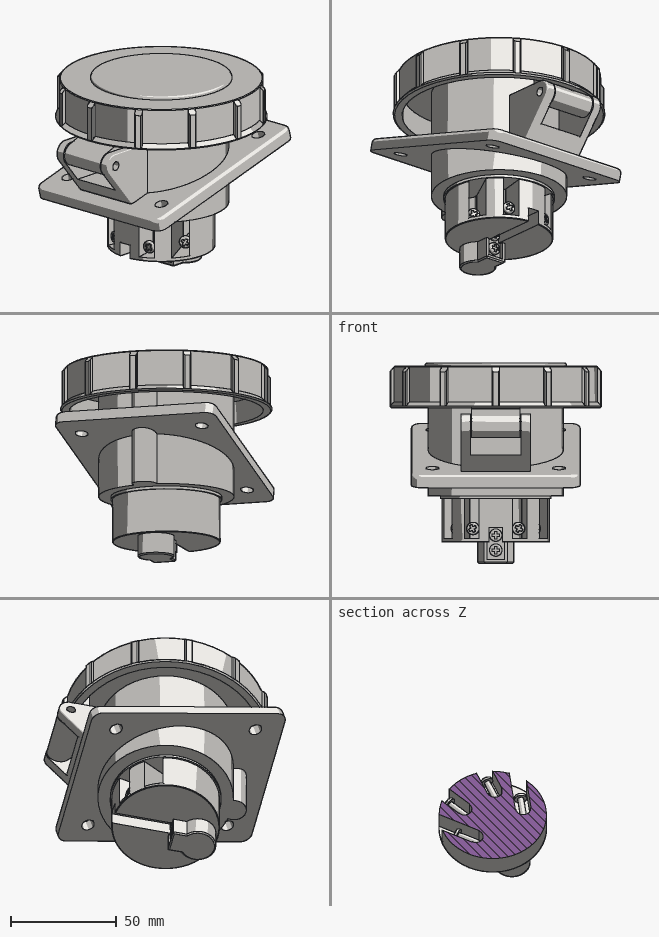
import cadquery as cq
import math


block_height = 10.1
collar_bottom = 30.6
housing_bottom = 32.0
ring_bottom = 73.5
housing_top = 84.1
ring_top = 93.2
lid_top = 94.7

ring_diameter = 100.0
rib_tip_radius = ring_diameter / 2
ring_wall_radius = 48.1
ring_inner_radius = 45.8
ring_roof_thickness = 3.2
ring_edge_chamfer = 0.4
flange_height = 2.7
flange_lip = 0.7
rib_count = 12
rib_width = 3.6
rib_edge_chamfer = 0.5
rib_top_slope = 2.3
rib_root_depth = 1.0

lid_boss_radius = 33.4
lid_boss_fillet = 1.2
lid_plate_radius = 45.2
leaf_inner_y = -39.3
leaf_outer_y = -43.4
leaf_bend_z = 73.0
leaf_inner_end_z = 68.4

overall_length = 105.2
hinge_radius = 5.7
hinge_y = rib_tip_radius - overall_length + hinge_radius
hinge_z = 65.0
knuckle_radius = 5.5
hinge_hole_radius = 2.1
bracket_width = 32.9
bracket_gap_width = 24.0
knuckle_width = 22.8
bracket_gap_floor = 51.1
bracket_toe_y = -38.8
bracket_toe_z = 43.4
bracket_back_y = -21.0
bracket_fillet = 0.6

housing_radius = 32.0
key_radius = 5.8
key_y = 33.1
plate_width = 79.8
plate_length = 97.1
plate_thickness = 6.0
plate_tilt = 15.0
plate_center_y = 2.9
plate_bottom_z = 48.3
plate_corner_radius = 4.9
plate_edge_fillet = 2.0
mount_hole_radius = 3.0
mount_hole_x = 29.9
mount_hole_along_plate = 34.9

collar_radius = 26.2
insert_radius = 25.5
insert_edge_chamfer = 0.3
block_width = 17.1
block_back_y = 24.1
block_radius = block_width / 2
block_y = block_back_y - block_radius
block_face_y = 2.4
block_face_width = 11.1
block_edge_chamfer = 0.6
block_recess_width = 8.2
block_recess_bottom = 1.8
block_recess_depth = 1.7
notch_width = 6.2
notch_top = 16.9

pocket_width = 7.3
pocket_floor = 11.9
pocket_bore_radius = 3.4
front_pocket_angle = 12.0
front_pocket_offset = 6.4
front_pocket_end = -12.2
side_pocket_angle = 28.0
side_pocket_offset = 14.7
side_pocket_end = -1.7

screw_head_radius = 2.9
screw_head_height = 1.6
screw_head_fillet = 0.7
screw_shank_radius = 1.5
screw_cross_length = 3.7
screw_cross_width = 1.3
screw_cross_depth = 0.6
terminal_screw_z = 16.5
terminal_screw_projection = 10.6
terminal_shank_length = 14.7
terminal_cross_turn = 30.0
clamp_shank_length = 5.3
clamp_screw_heights = (6.3, 13.4)


def cylinder(radius, bottom, top):
    return cq.Workplane("XY").workplane(offset=bottom).circle(radius).extrude(top - bottom)


def block_between(x_range, y_range, z_range):
    size = [high - low for low, high in (x_range, y_range, z_range)]
    corner = (x_range[0], y_range[0], z_range[0])
    return cq.Workplane("XY").box(*size, centered=False).translate(corner)


def tangent_point(outside, center, radius, side):
    """Point where a line from an outside point touches a circle, on the side given by +1 or -1."""
    dy = outside[0] - center[0]
    dz = outside[1] - center[1]
    angle = math.atan2(dz, dy) + side * math.acos(radius / math.hypot(dy, dz))
    return (center[0] + radius * math.cos(angle), center[1] + radius * math.sin(angle))


hinge_center = (hinge_y, hinge_z)
hinge_bore = (
    cq.Workplane("YZ")
    .center(*hinge_center)
    .circle(hinge_hole_radius)
    .extrude(bracket_width / 2, both=True)
)


def make_rib():
    tip_top = ring_top - ring_edge_chamfer - rib_top_slope
    root = ring_wall_radius - rib_root_depth
    side = [
        (root, ring_bottom + flange_lip),
        (rib_tip_radius, ring_bottom + flange_lip),
        (rib_tip_radius, tip_top),
        (ring_wall_radius, ring_top - ring_edge_chamfer),
        (root, ring_top - ring_edge_chamfer),
    ]
    rib = cq.Workplane("XZ").polyline(side).close().extrude(rib_width / 2, both=True)
    return rib.faces(">X").edges("|Z").chamfer(rib_edge_chamfer)


def make_ring():
    outline = [
        (ring_inner_radius, ring_bottom),
        (rib_tip_radius - flange_lip, ring_bottom),
        (rib_tip_radius, ring_bottom + flange_lip),
        (ring_wall_radius, ring_bottom + flange_height),
        (ring_wall_radius, ring_top - ring_edge_chamfer),
        (ring_wall_radius - ring_edge_chamfer, ring_top),
        (lid_boss_radius, ring_top),
        (lid_boss_radius, ring_top - ring_roof_thickness),
        (ring_inner_radius, ring_top - ring_roof_thickness),
    ]
    ring = cq.Workplane("XZ").polyline(outline).close().revolve(360, (0, 0), (0, 1))
    for i in range(rib_count):
        ring = ring.union(make_rib().rotate((0, 0, 0), (0, 0, 1), i * 360 / rib_count))
    return ring


def make_lid():
    plate_top = ring_top - ring_roof_thickness
    lid = cylinder(lid_plate_radius, housing_top, plate_top)
    boss = cylinder(lid_boss_radius, plate_top, lid_top).faces(">Z").edges().fillet(lid_boss_fillet)

    upper = tangent_point((leaf_outer_y, leaf_bend_z), hinge_center, knuckle_radius, 1)
    lower = tangent_point((leaf_inner_y, leaf_inner_end_z), hinge_center, knuckle_radius, -1)
    leaf = (
        cq.Workplane("YZ")
        .moveTo(leaf_inner_y, housing_top)
        .lineTo(leaf_outer_y, housing_top)
        .lineTo(leaf_outer_y, leaf_bend_z)
        .lineTo(*upper)
        .threePointArc((hinge_y - knuckle_radius, hinge_z), lower)
        .lineTo(leaf_inner_y, leaf_inner_end_z)
        .close()
        .extrude(knuckle_width / 2, both=True)
    )
    return lid.union(boss).union(leaf).cut(hinge_bore)


def make_plate():
    plate = (
        cq.Workplane("XY")
        .box(plate_width, plate_length, plate_thickness, centered=(True, True, False))
        .edges("|Z")
        .fillet(plate_corner_radius)
        .faces(">Z")
        .edges()
        .fillet(plate_edge_fillet)
    )
    holes = (
        cq.Workplane("XY")
        .rect(2 * mount_hole_x, 2 * mount_hole_along_plate, forConstruction=True)
        .vertices()
        .circle(mount_hole_radius)
        .extrude(plate_thickness)
    )
    plate = plate.cut(holes).rotate((0, 0, 0), (1, 0, 0), plate_tilt)
    return plate.translate((0, plate_center_y, plate_bottom_z))


def make_bracket():
    toe = (bracket_toe_y, bracket_toe_z)
    lower = tangent_point(toe, hinge_center, hinge_radius, -1)
    bracket = (
        cq.Workplane("YZ")
        .moveTo(bracket_back_y, hinge_z + hinge_radius)
        .lineTo(hinge_y, hinge_z + hinge_radius)
        .threePointArc((hinge_y - hinge_radius, hinge_z), lower)
        .lineTo(*toe)
        .lineTo(bracket_back_y, bracket_toe_z)
        .close()
        .extrude(bracket_width / 2, both=True)
        .faces("<X or >X")
        .edges()
        .fillet(bracket_fillet)
    )
    gap = block_between(
        (-bracket_gap_width / 2, bracket_gap_width / 2),
        (hinge_y - 2 * hinge_radius, bracket_back_y),
        (bracket_gap_floor, housing_top),
    )
    return bracket.cut(gap).cut(hinge_bore)


def make_housing():
    barrel = cylinder(housing_radius, housing_bottom, housing_top)
    key = cylinder(key_radius, housing_bottom, housing_top).translate((0, key_y, 0))
    key_web = block_between((-key_radius, key_radius), (0, key_y), (housing_bottom, housing_top))
    return barrel.union(key).union(key_web).union(make_plate()).union(make_bracket())


def make_screw(shank_length):
    head = cq.Workplane("XZ").circle(screw_head_radius).extrude(screw_head_height)
    head = head.faces("<Y").edges().fillet(screw_head_fillet)
    shank = cq.Workplane("XZ").circle(screw_shank_radius).extrude(-shank_length)
    cross = (
        cq.Workplane("XZ")
        .workplane(offset=screw_head_height - screw_cross_depth)
        .rect(screw_cross_length, screw_cross_width)
        .extrude(screw_cross_depth)
    )
    turned_cross = cross.rotate((0, 0, 0), (0, 1, 0), 90)
    return head.union(shank).cut(cross).cut(turned_cross)


pocket_layout = [
    (front_pocket_angle, front_pocket_offset, front_pocket_end),
    (side_pocket_angle, side_pocket_offset, side_pocket_end),
]


def turned_pair(shape, angle):
    """A shape running along Y, turned about Z on the +X side, and its mirror image on the -X side."""
    turned = shape.rotate((0, 0, 0), (0, 0, 1), angle)
    return [turned, turned.mirror("YZ")]


def make_pocket(offset, end):
    """Open-ended pocket along Y, with a round bore at its inner end."""
    slot = block_between(
        (offset - pocket_width / 2, offset + pocket_width / 2),
        (-2 * insert_radius, end),
        (pocket_floor, collar_bottom),
    )
    bore = cylinder(pocket_bore_radius, pocket_floor, collar_bottom).translate((offset, end, 0))
    return slot.union(bore)


def make_terminal_screws():
    screws = []
    for angle, offset, end in pocket_layout:
        screw = make_screw(terminal_shank_length).rotate((0, 0, 0), (0, 1, 0), terminal_cross_turn)
        seat = (offset, end - terminal_screw_projection + screw_head_height, terminal_screw_z)
        screws += turned_pair(screw.translate(seat), angle)
    return screws


def make_clamp_screws():
    seat_y = block_face_y + block_recess_depth
    return [make_screw(clamp_shank_length).translate((0, seat_y, z)) for z in clamp_screw_heights]


def make_cable_block():
    round_part = cylinder(block_radius, 0, block_height).translate((0, block_y, 0))
    face_part = block_between(
        (-block_face_width / 2, block_face_width / 2), (block_face_y, block_y), (0, block_height)
    )
    block = round_part.union(face_part)
    return block.faces("<Z").edges().chamfer(block_edge_chamfer)


def make_insert(screws):
    body = cylinder(insert_radius, block_height, collar_bottom)
    body = body.faces("<Z").edges().chamfer(insert_edge_chamfer)
    insert = body.union(cylinder(collar_radius, collar_bottom, housing_bottom)).union(make_cable_block())

    recess_back = block_face_y + block_recess_depth
    notch = block_between(
        (-notch_width / 2, notch_width / 2), (-insert_radius, recess_back), (block_height, notch_top)
    )
    recess = block_between(
        (-block_recess_width / 2, block_recess_width / 2),
        (block_face_y, recess_back),
        (block_recess_bottom, block_height),
    )
    insert = insert.cut(notch).cut(recess)

    for angle, offset, end in pocket_layout:
        for pocket in turned_pair(make_pocket(offset, end), angle):
            insert = insert.cut(pocket)
    for screw in screws:
        insert = insert.cut(screw)
    return insert


ring = make_ring()
lid = make_lid()
housing = make_housing()
terminal_screws = make_terminal_screws()
clamp_screws = make_clamp_screws()
screws = terminal_screws + clamp_screws
insert = make_insert(screws)

result = cq.Compound.makeCompound(
    [ring.val(), lid.val(), housing.val(), insert.val(), *[screw.val() for screw in screws]]
)